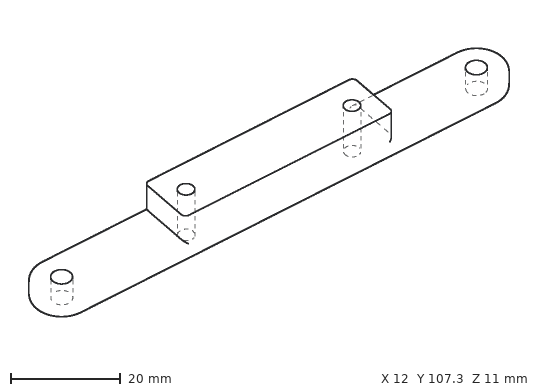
import cadquery as cq

width = 12.0
overall_length = 107.26
arm_thickness = 5.0
end_radius = width / 2
end_hole_spacing = overall_length - 2 * end_radius
end_hole_diameter = 4.0

block_length = 48.0
overall_height = 11.0
block_hole_spacing = 38.1
block_hole_diameter = 3.2

edge_radius = 1.0


def make_body():
    """Flat bar with semicircular ends, carrying a block of the same width."""
    bar = cq.Workplane("XY").slot2D(overall_length, width, 90).extrude(arm_thickness)
    block = cq.Workplane("XY").rect(width, block_length).extrude(overall_height)
    return bar.union(block).clean()


def round_edges(body):
    """Round the bottom rim, the arm top rims and the vertical block corners together."""
    bottom_rim = body.faces("<Z").edges()
    block_corners = body.faces("|Y").edges("|Z")
    arm_rims = body.faces("|Z").faces(">Z[-2]").edges("not |X")
    return bottom_rim.add(block_corners).add(arm_rims).fillet(edge_radius)


def drill_hole_pair(body, spacing, diameter):
    """Drill two vertical through holes, placed symmetrically along Y."""
    holes = (
        cq.Workplane("XY")
        .pushPoints([(0, -spacing / 2), (0, spacing / 2)])
        .circle(diameter / 2)
        .extrude(overall_height)
    )
    return body.cut(holes)


result = round_edges(make_body())
result = drill_hole_pair(result, end_hole_spacing, end_hole_diameter)
result = drill_hole_pair(result, block_hole_spacing, block_hole_diameter)